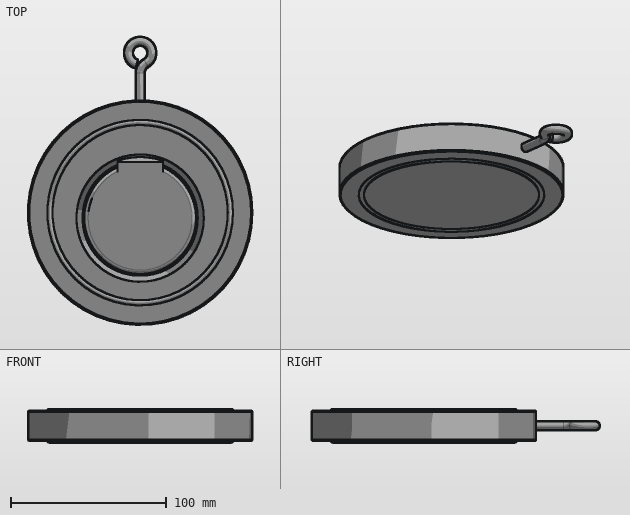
import cadquery as cq
import math


body_diameter = 144.0
body_thickness = 19.6
body_chamfer = 0.83
overall_length = 185
overall_thickness = 21.8

bead_width = 3.3
bead_outer_radius = 59.5

recess_offset = -3.5
recess_top_radius = 40.9
recess_floor_radius = 37.0
recess_depth = 11.8

flap_radius = 35.9
flap_top_depth = 3.5
flap_edge_radius = 5.0 / 2
tab_width = 29.2
tab_crest_y = 32.4
tab_end_y = 42.5
tab_slope_angle = 26

wire_diameter = 6.0
eye_outer_diameter = 20.9
eye_gap_angle = 46
rod_inner_y = 64.7

body_radius = body_diameter / 2
body_top = body_thickness / 2
bead_height = (overall_thickness - body_thickness) / 2
bead_mean_radius = bead_outer_radius - bead_width / 2
floor_z = body_top - recess_depth
flap_top = body_top - flap_top_depth
flap_height = flap_top - floor_z
eye_mean_radius = (eye_outer_diameter - wire_diameter) / 2


def make_body():
    disc = cq.Workplane("XY", origin=(0, 0, -body_top)).circle(body_radius).extrude(body_thickness)
    return disc.faces("|Z").edges().chamfer(body_chamfer)


def make_bead(side):
    """Ring with an arched crest on the top (side = 1) or bottom (side = -1) face."""
    face_z = side * body_top
    root_z = side * (body_top - bead_height)
    inner = bead_outer_radius - bead_width
    section = (
        cq.Workplane("XZ")
        .moveTo(inner, root_z)
        .lineTo(inner, face_z)
        .threePointArc((bead_mean_radius, face_z + side * bead_height), (bead_outer_radius, face_z))
        .lineTo(bead_outer_radius, root_z)
        .close()
    )
    return section.revolve(360, (0, 0, 0), (0, 1, 0))


def make_recess():
    return cq.Workplane(
        cq.Solid.makeCone(
            recess_floor_radius,
            recess_top_radius,
            recess_depth,
            pnt=cq.Vector(0, recess_offset, floor_z),
        )
    )


def make_flap():
    return (
        cq.Workplane("XY", origin=(0, recess_offset, floor_z))
        .circle(flap_radius)
        .extrude(flap_height)
        .faces(">Z")
        .edges()
        .fillet(flap_edge_radius)
    )


def make_hinge_tab():
    """Flat tab level with the flap, sloping down into the recess wall."""
    slope_drop = (tab_end_y - tab_crest_y) * math.tan(math.radians(tab_slope_angle))
    profile = [
        (recess_offset, floor_z),
        (recess_offset, flap_top),
        (tab_crest_y, flap_top),
        (tab_end_y, flap_top - slope_drop),
        (tab_end_y, floor_z),
    ]
    return cq.Workplane("YZ").polyline(profile).close().extrude(tab_width / 2, both=True)


def make_eye_bolt():
    """Rod whose end bends aside, then curls back around a centred eye."""
    eye_center_y = overall_length - body_radius - eye_outer_diameter / 2
    bend_angle = math.radians(60)
    rod_end_y = eye_center_y - 2 * eye_mean_radius * math.sin(bend_angle)

    def bend_point(angle):
        return (eye_mean_radius * (1 - math.cos(angle)), rod_end_y + eye_mean_radius * math.sin(angle))

    def eye_point(angle):
        return (eye_mean_radius * math.cos(angle), eye_center_y + eye_mean_radius * math.sin(angle))

    eye_start = -bend_angle
    eye_end = eye_start + math.radians(360 - eye_gap_angle)
    path = (
        cq.Workplane("XY")
        .moveTo(0, rod_inner_y)
        .lineTo(0, rod_end_y)
        .threePointArc(bend_point(bend_angle / 2), bend_point(bend_angle))
        .threePointArc(eye_point((eye_start + eye_end) / 2), eye_point(eye_end))
    )
    section = cq.Workplane("XZ", origin=(0, rod_inner_y, 0)).circle(wire_diameter / 2)
    return section.sweep(path)


result = make_body().cut(make_recess())
for bead_side in (1, -1):
    result = result.union(make_bead(bead_side))
result = result.union(make_flap().union(make_hinge_tab()))
result = result.union(make_eye_bolt())